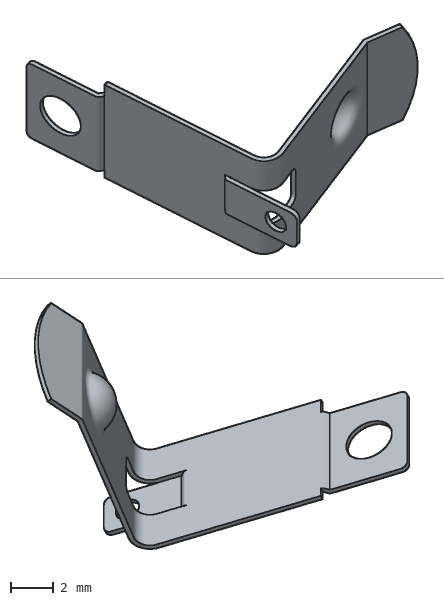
import cadquery as cq
import math

thickness = 0.25
strip_width = 6.35
total_length = 15.57
total_depth = 12.25
plate_inner_y = 2 * thickness
jog_angle = 45.0
jog_run = thickness * math.sqrt(2)

mount_length = 3.97
mount_width = 5.08
mount_offset_z = -0.15
mount_hole_x = 1.96
mount_hole_diameter = 2.34
mount_corner_radius = 0.36

terminal_start_x = 11.58
terminal_width = 2.3
terminal_hole_x = 14.35
terminal_hole_diameter = 1.2
terminal_corner_radius = 0.4
window_leg_length = 1.2
window_corner_radius = 0.33

bend_start_x = 12.75
bend_inner_radius = 0.81
bend_outer_radius = bend_inner_radius + thickness
leg_lean = math.radians(6)
leg_length = 8.24
lip_lean = math.radians(24)
lip_arc_rise = 0.84

dome_position = 6.17
dome_radius = 1.54
dome_height = 0.98
dome_foot_radius = 0.36

plate_start_x = mount_length + jog_run
window_start_x = terminal_start_x - jog_run


def polar(center, radius, angle):
    return (center[0] + radius * math.cos(angle), center[1] + radius * math.sin(angle))


def block(x_min, x_max, y_min, y_max, width):
    """Box centred on Z = 0."""
    return cq.Workplane("XY").box(x_max - x_min, y_max - y_min, width).translate(
        ((x_min + x_max) / 2, (y_min + y_max) / 2, 0)
    )


def jog(tab_end_x, direction, width):
    """Two sharp 45-degree bends stepping from a tab up to the plate, toward direction * X."""
    angle = math.radians(jog_angle)

    def arc_point(center, radius, turn):
        return (center[0] + direction * radius * math.sin(turn), center[1] - radius * math.cos(turn))

    tab_pivot = (tab_end_x, thickness)
    plate_pivot = (tab_end_x + direction * jog_run, thickness)
    return (
        cq.Workplane("XY")
        .moveTo(tab_end_x, 0)
        .threePointArc(arc_point(tab_pivot, thickness, angle / 2), arc_point(tab_pivot, thickness, angle))
        .lineTo(*plate_pivot)
        .lineTo(plate_pivot[0], plate_inner_y)
        .threePointArc(
            arc_point(plate_pivot, -thickness, angle / 2), arc_point(plate_pivot, -thickness, angle)
        )
        .lineTo(*tab_pivot)
        .close()
        .extrude(width / 2, both=True)
    )


def tab(x_min, x_max, width, end_edges, corner_radius, hole_x, hole_diameter):
    """Flat tab with two rounded end corners and one hole."""
    plate = block(x_min, x_max, 0, thickness, width).edges(end_edges).fillet(corner_radius)
    hole = cq.Workplane("XZ").center(hole_x, 0).circle(hole_diameter / 2).extrude(thickness, both=True)
    return plate.cut(hole)


def mounting_tab():
    flat = tab(
        0, mount_length, mount_width, "|Y and <X", mount_corner_radius, mount_hole_x, mount_hole_diameter
    )
    return flat.union(jog(mount_length, 1, mount_width)).translate((0, 0, mount_offset_z))


def terminal_tab():
    flat = tab(
        terminal_start_x, total_length, terminal_width, "|Y and >X",
        terminal_corner_radius, terminal_hole_x, terminal_hole_diameter,
    )
    return flat.union(jog(terminal_start_x, -1, terminal_width))


bend_center = (bend_start_x, thickness + bend_outer_radius)
leg_start = polar(bend_center, bend_outer_radius, leg_lean)
leg_plane = cq.Plane(
    origin=(*leg_start, 0),
    xDir=(-math.sin(leg_lean), math.cos(leg_lean), 0),
    normal=(-math.cos(leg_lean), -math.sin(leg_lean), 0),
)

lip_pivot = polar(leg_start, leg_length, math.pi / 2 + leg_lean)
lip_plane = cq.Plane(
    origin=(*lip_pivot, 0),
    xDir=(math.sin(lip_lean), math.cos(lip_lean), 0),
    normal=(-math.cos(lip_lean), math.sin(lip_lean), 0),
)
lip_length = (total_depth - lip_pivot[1] - thickness * math.sin(lip_lean)) / math.cos(lip_lean)


def main_bend():
    first_angle = -math.pi / 2
    middle_angle = (first_angle + leg_lean) / 2
    return (
        cq.Workplane("XY")
        .moveTo(*polar(bend_center, bend_outer_radius, first_angle))
        .threePointArc(polar(bend_center, bend_outer_radius, middle_angle), leg_start)
        .lineTo(*polar(bend_center, bend_inner_radius, leg_lean))
        .threePointArc(
            polar(bend_center, bend_inner_radius, middle_angle),
            polar(bend_center, bend_inner_radius, first_angle),
        )
        .close()
        .extrude(strip_width / 2, both=True)
    )


def lip():
    leg_normal = math.pi + leg_lean
    lip_normal = math.pi - lip_lean
    wedge = (
        cq.Workplane("XY")
        .moveTo(*lip_pivot)
        .lineTo(*polar(lip_pivot, thickness, leg_normal))
        .threePointArc(
            polar(lip_pivot, thickness, (leg_normal + lip_normal) / 2),
            polar(lip_pivot, thickness, lip_normal),
        )
        .close()
        .extrude(strip_width / 2, both=True)
    )
    half_width = strip_width / 2
    side_length = lip_length - lip_arc_rise
    flat = (
        cq.Workplane(lip_plane)
        .moveTo(0, -half_width)
        .lineTo(side_length, -half_width)
        .threePointArc((lip_length, 0), (side_length, half_width))
        .lineTo(0, half_width)
        .close()
        .extrude(thickness)
    )
    return wedge.union(flat)


def dome_body(base_height, radius, foot_radius):
    """Spherical cap blended by a concave foot into a flat base one thickness deep."""
    center_height = thickness + dome_height - dome_radius
    foot_height = base_height + foot_radius
    reach = radius + foot_radius
    foot_distance = math.sqrt(reach**2 - (foot_height - center_height) ** 2)
    join_angle = math.atan2(foot_height - center_height, foot_distance)
    cap_center = (0, center_height)
    foot_center = (foot_distance, foot_height)
    return (
        cq.Workplane(leg_plane)
        .center(dome_position, 0)
        .transformed(rotate=(90, 0, 0))
        .moveTo(0, base_height - thickness)
        .lineTo(foot_distance, base_height - thickness)
        .lineTo(foot_distance, base_height)
        .threePointArc(
            polar(foot_center, foot_radius, (join_angle - 3 * math.pi / 2) / 2),
            polar(cap_center, radius, join_angle),
        )
        .threePointArc(
            polar(cap_center, radius, (join_angle + math.pi / 2) / 2), (0, center_height + radius)
        )
        .close()
        .revolve(360, (0, 0), (0, 1))
    )


def leg():
    flat = cq.Workplane(leg_plane).center(leg_length / 2, 0).rect(leg_length, strip_width).extrude(thickness)
    window = (
        cq.Workplane(leg_plane)
        .rect(2 * window_leg_length, terminal_width)
        .extrude(thickness)
        .edges(cq.selectors.ParallelDirSelector(leg_plane.zDir))
        .fillet(window_corner_radius)
    )
    dome = dome_body(thickness, dome_radius, dome_foot_radius)
    hollow = dome_body(0, dome_radius - thickness, dome_foot_radius + thickness)
    return flat.cut(window).union(dome).cut(hollow)


plate = block(plate_start_x, bend_start_x, thickness, plate_inner_y, strip_width)
base_window = block(window_start_x, total_length, thickness, leg_start[1], terminal_width)
strip = plate.union(main_bend()).cut(base_window).union(leg()).union(lip())
result = strip.union(mounting_tab()).union(terminal_tab())